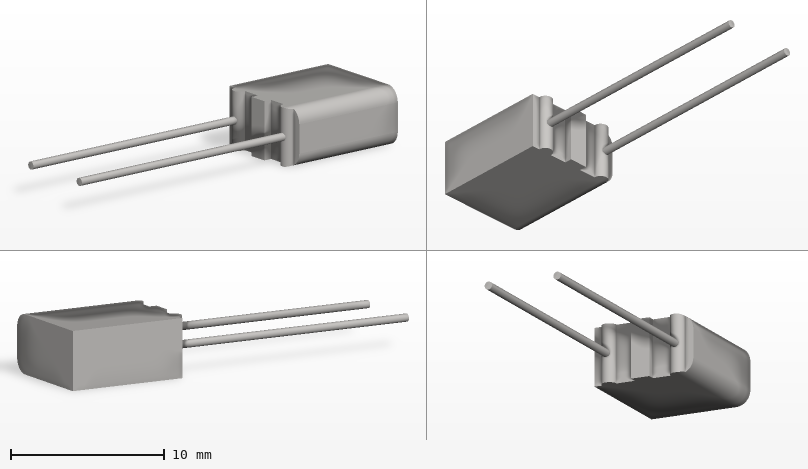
import cadquery as cq

WIDTH = 7.2
HEIGHT = 4.0
CASE_LENGTH = 8.25
CORNER_RADIUS = 1.0

STANDOFF = 0.55
RIB_RADIUS = 0.52
TAB_WIDTH = 1.35

TOTAL_LENGTH = 25.8
LEAD_DIAMETER = 0.55
LEAD_PITCH = 5.0

LEAD_XS = (-LEAD_PITCH / 2, LEAD_PITCH / 2)
LEAD_TIP_Y = CASE_LENGTH - TOTAL_LENGTH


def make_lead(x):
    """Straight round wire from its tip to the lead face, through the rounded rib."""
    return (
        cq.Workplane("XZ", origin=(x, 0, 0))
        .circle(LEAD_DIAMETER / 2)
        .extrude(-LEAD_TIP_Y)
    )


def make_rib(x):
    """Rib with a half-round nose, centred on a lead and rooted in the lead face."""
    flank = STANDOFF - RIB_RADIUS
    return (
        cq.Workplane("XY", origin=(x, 0, -HEIGHT / 2))
        .moveTo(-RIB_RADIUS, RIB_RADIUS)
        .lineTo(-RIB_RADIUS, -flank)
        .threePointArc((0, -STANDOFF), (RIB_RADIUS, -flank))
        .lineTo(RIB_RADIUS, RIB_RADIUS)
        .close()
        .extrude(HEIGHT)
    )


def make_case_block():
    """Plain block with the standoff ribs and tab, all running the full height."""
    block = cq.Workplane("XY").box(WIDTH, CASE_LENGTH, HEIGHT).translate((0, CASE_LENGTH / 2, 0))
    tab = cq.Workplane("XY").box(TAB_WIDTH, 2 * STANDOFF, HEIGHT)
    block = block.union(tab)
    for x in LEAD_XS:
        block = block.union(make_rib(x))
    return block


def make_rounded_envelope():
    """End outline of the case, long enough to contain the standoffs."""
    length = CASE_LENGTH + STANDOFF
    return (
        cq.Workplane("XY")
        .box(WIDTH, length, HEIGHT)
        .translate((0, length / 2 - STANDOFF, 0))
        .edges("|Y and >X")
        .fillet(CORNER_RADIUS)
    )


def make_case(leads):
    """Rounded case with a blind hole fitting each lead."""
    case = make_case_block().intersect(make_rounded_envelope())
    for lead in leads:
        case = case.cut(lead)
    return case.solids()


leads = [make_lead(x) for x in LEAD_XS]
case = make_case(leads)

result = cq.Compound.makeCompound([case.val(), *[lead.val() for lead in leads]])